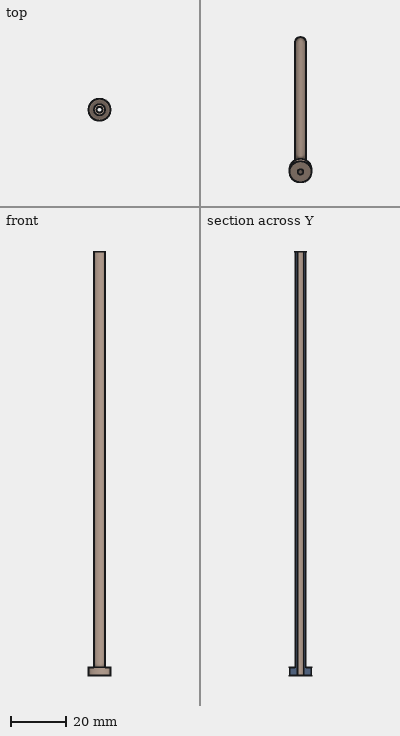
import cadquery as cq

total_length = 153.0
head_diameter = 8.0
head_height = 3.0
shaft_diameter = 4.0
bore_diameter = 2.0
root_fillet_radius = 0.3


def make_head():
    return cq.Workplane("XY").circle(head_diameter / 2).extrude(head_height)


def add_shaft(body):
    shaft_length = total_length - head_height
    return body.faces(">Z").workplane().circle(shaft_diameter / 2).extrude(shaft_length)


def fillet_shaft_root(body):
    root_edge = cq.selectors.RadiusNthSelector(0)
    return body.faces("<Z[1]").edges(root_edge).fillet(root_fillet_radius)


def cut_bore(body):
    return body.faces(">Z").workplane().circle(bore_diameter / 2).cutThruAll()


result = cut_bore(fillet_shaft_root(add_shaft(make_head())))